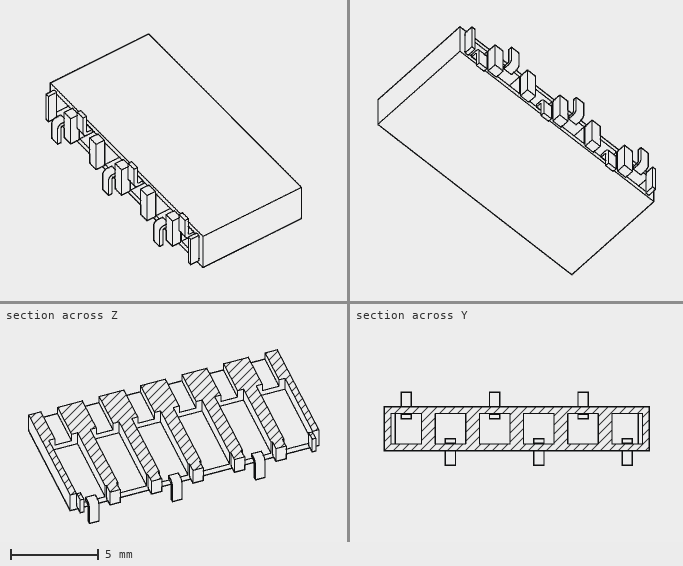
import cadquery as cq

contact_count = 6
length = 15.24
total_depth = 7.5
total_height = 4.2
pitch = length / contact_count

housing_height = pitch
standoff_depth = 0.58
bay_size = 1.74
bay_depth = 4.57
entry_size = 1.0
rib_height = 2.05
rib_width = 0.64
end_rib_width = 0.25

strip_width = 0.6
strip_thickness = 0.25
inner_bend_radius = 0.1
outer_bend_radius = 0.3
leg_level = 0.56
contact_depth = 0.64

housing_front = standoff_depth
bay_floor = housing_front + bay_depth

contact_positions = [(i - (contact_count - 1) / 2) * pitch for i in range(contact_count)]
rib_positions = [(i - contact_count / 2) * pitch for i in range(1, contact_count)]

end_rib_position = contact_positions[-1] + bay_size / 2 - end_rib_width / 2


def block(width, height, y_start, y_end, x_center=0.0):
    """Box centred on x_center and on Z = 0, running from y_start to y_end."""
    depth = y_end - y_start
    y_center = (y_start + y_end) / 2
    return cq.Workplane("XY").box(width, depth, height).translate((x_center, y_center, 0))


def make_housing():
    """Block with stepped square cavities and standoff ribs on its board side."""
    body = block(length, housing_height, housing_front, total_depth)

    for x in contact_positions:
        body = body.cut(block(bay_size, bay_size, housing_front, bay_floor, x))
        body = body.cut(block(entry_size, entry_size, bay_floor, total_depth, x))

    for x in rib_positions:
        body = body.union(block(rib_width, rib_height, 0, housing_front, x))

    for x in (-end_rib_position, end_rib_position):
        body = body.union(block(end_rib_width, rib_height, 0, housing_front, x))
    return body


def make_contact(x_center, side):
    """Strip with a short leg into the bay and a solder leg bent up (side 1) or down (side -1)."""
    outer_z = side * leg_level
    inner_z = side * (leg_level + strip_thickness)
    tip_z = side * total_height / 2
    outer_bend_z = side * (leg_level + outer_bend_radius)
    inner_bend_z = inner_z + side * inner_bend_radius
    inner_bend_y = strip_thickness + inner_bend_radius

    outline = (
        cq.Workplane("YZ")
        .moveTo(contact_depth, outer_z)
        .lineTo(outer_bend_radius, outer_z)
        .tangentArcPoint((0, outer_bend_z), relative=False)
        .lineTo(0, tip_z)
        .lineTo(strip_thickness, tip_z)
        .lineTo(strip_thickness, inner_bend_z)
        .tangentArcPoint((inner_bend_y, inner_z), relative=False)
        .lineTo(contact_depth, inner_z)
        .close()
    )
    strip = outline.extrude(strip_width / 2, both=True)
    return strip.translate((x_center, 0, 0))


housing = make_housing()

contacts = []
for index, position in enumerate(contact_positions):
    bend_side = -1 if index % 2 == 0 else 1
    contacts.append(make_contact(position, bend_side))

result = cq.Compound.makeCompound([housing.val(), *[contact.val() for contact in contacts]])